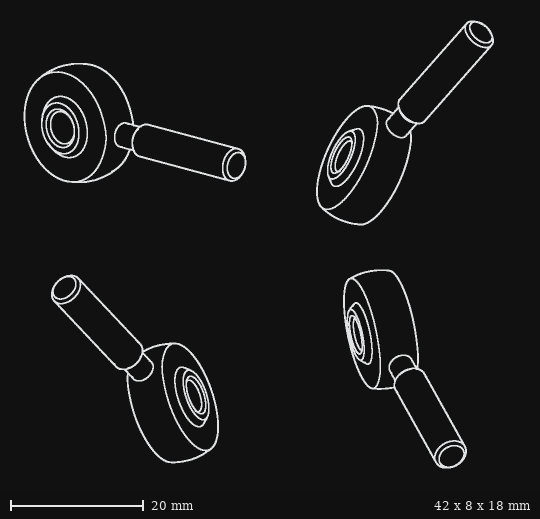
import cadquery as cq
import math

overall_length = 42.0
head_radius = 9.0
head_width = 6.0
ball_radius = 5.6
ball_width = 8.0
bore_diameter = 5.0
bore_chamfer = 0.45
shoulder_start = 7.85
shoulder_end = 9.3
neck_diameter = 3.7
shank_diameter = 5.0
shank_start = 12.98
shank_end_chamfer = 0.5

shank_end = overall_length - head_radius
neck_radius = neck_diameter / 2
shank_radius = shank_diameter / 2
shank_start_chamfer = shank_radius - neck_radius
shoulder_radius = math.sqrt(head_radius**2 - shoulder_start**2)


def flat_sided_ball(radius, width):
    """Ball cut by two flats, spaced evenly about the XZ plane."""
    slab = cq.Workplane("XY").box(2 * radius, width, 2 * radius)
    return cq.Workplane("XY").sphere(radius).intersect(slab)


def make_head():
    """Spherical eye with a conical shoulder, both trimmed to the head width."""
    profile = (
        cq.Workplane("XY")
        .moveTo(-head_radius, 0)
        .threePointArc((0, head_radius), (shoulder_start, shoulder_radius))
        .lineTo(shoulder_end, neck_radius)
        .lineTo(shoulder_end, 0)
        .close()
    )
    turned = profile.revolve(360, (0, 0, 0), (1, 0, 0))
    slab = cq.Workplane("XY").box(2 * shoulder_end, head_width, 2 * head_radius)
    return turned.intersect(slab)


def make_shank():
    """Neck and chamfered shank, starting just inside the conical shoulder."""
    root = shoulder_start
    profile = (
        cq.Workplane("XY")
        .moveTo(root, 0)
        .lineTo(root, neck_radius)
        .lineTo(shank_start, neck_radius)
        .lineTo(shank_start + shank_start_chamfer, shank_radius)
        .lineTo(shank_end - shank_end_chamfer, shank_radius)
        .lineTo(shank_end, shank_radius - shank_end_chamfer)
        .lineTo(shank_end, 0)
        .close()
    )
    return profile.revolve(360, (0, 0, 0), (1, 0, 0))


def make_bore():
    """Through bore along Y, flared by a chamfer at both ends."""
    bore_radius = bore_diameter / 2
    half_width = ball_width / 2
    mouth_radius = bore_radius + bore_chamfer
    profile = cq.Workplane("XY").polyline([
        (0, -half_width),
        (mouth_radius, -half_width),
        (bore_radius, -half_width + bore_chamfer),
        (bore_radius, half_width - bore_chamfer),
        (mouth_radius, half_width),
        (0, half_width),
    ]).close()
    return profile.revolve(360, (0, 0, 0), (0, 1, 0))


ball = flat_sided_ball(ball_radius, ball_width)
result = make_head().union(make_shank()).union(ball).cut(make_bore())